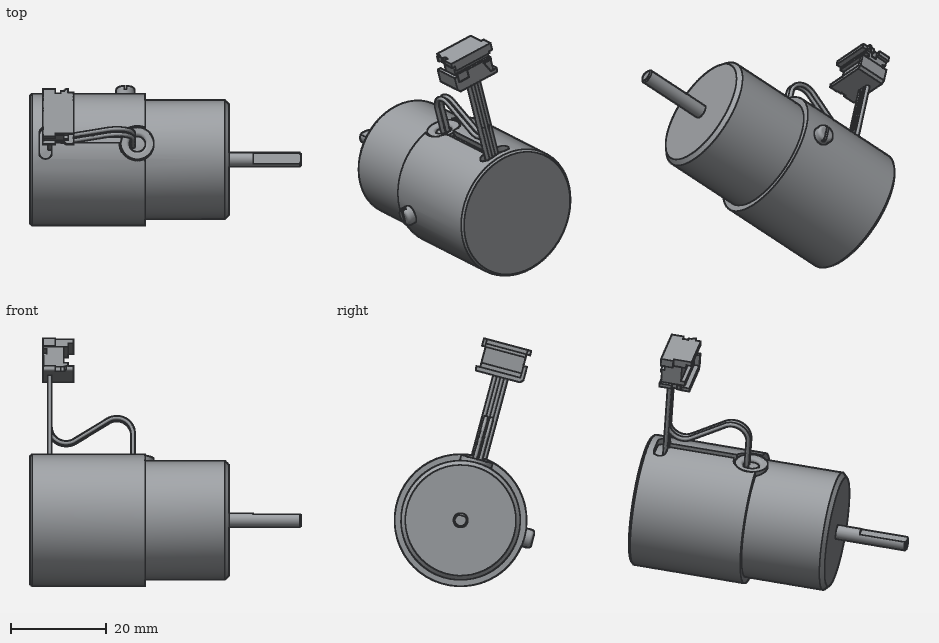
import cadquery as cq
import math

ROLL_ANGLE = -15.0

REAR_RADIUS = 13.8
REAR_LENGTH = 24.0
REAR_CHAMFER = 0.45
FRONT_RADIUS = 12.45
FRONT_END = 41.55
FRONT_CHAMFER = 0.9

SHAFT_RADIUS = 1.5
SHAFT_END = 56.55
SHAFT_TIP_CHAMFER = 0.3
SHAFT_FLAT_LENGTH = 10.0
SHAFT_FLAT_HEIGHT = 1.0

WIRING_FLOOR_RADIUS = 12.5
SLOT_X = 3.25
SLOT_WIDTH = 2.6
SLOT_LENGTH = 6.9
GROOVE_NEAR_Y = -0.1
GROOVE_FAR_Y = 1.5

GROMMET_X = 22.4
GROMMET_RADIUS = 3.45
GROMMET_SEAT_RADIUS = 3.75
GROMMET_TOP = 13.2
GROMMET_BOTTOM = 11.5
GROMMET_HOLE_RADIUS = 1.67
GROMMET_HOLE_FLOOR = 12.05
GROMMET_LIP_ROUND = 0.7

SCREW_X = 19.9
SCREW_RADIUS = 1.97
SCREW_TIP = 15.6
SCREW_EDGE_ROUND = 0.7
SCREW_SLOT_WIDTH = 0.45
SCREW_SLOT_DEPTH = 0.9

WIRE_RADIUS = 0.45
LEAD_X = 4.14
LEAD_CENTER_Y = 0.32
LEAD_PITCH = 0.78
LEAD_COUNT = 4
LOOP_COUNT = 2
LOOP_X = 21.5
LOOP_CENTER_Y = 0.15
LOOP_PITCH = 1.15
LOOP_BEND_START = 18.6
LOOP_BEND_RADIUS = 3.4
LOOP_SLOPE_ANGLE = 32.3

PLUG_X = 2.7
PLUG_LENGTH = 6.4
PLUG_LIP_HALF_WIDTH = 5.13
PLUG_CORE_HALF_WIDTH = 4.35
PLATE_NOTCH_HALF_WIDTH = 4.2
PLATE_INSET_HALF_WIDTH = 4.45
FLANGE_NOTCH_HALF_WIDTH = 4.45
PLUG_BOTTOM = 30.98
PLUG_TOP = 37.96
PLUG_KEY_X = PLUG_X + 2.6
PLUG_TOOTH_X = PLUG_KEY_X + 1.1
PLUG_TOOTH_PEAK_X = PLUG_TOOTH_X + 1.15
PLUG_SHOULDER_X = 7.98
PLUG_TOOTH_REACH = 0.35
PLUG_TOOTH_LENGTH = 0.7
PLATE_UNDERSIDE = 36.3
PLATE_END_UNDERSIDE = 37.0
KEYED_LIP_UNDERSIDE = 36.95
FLANGE_TOP = 31.95
FLANGE_EDGE_ROUND = 0.4
CORE_END_X = 7.09
RIB_TOP = 32.9
WALL_TOP = 34.5
WALL_CHAMFER = 0.6
BACK_GROOVE_BOTTOM = 34.9
BACK_GROOVE_TOP = 35.9
BACK_GROOVE_DEPTH = 0.75
BACK_MARK_DEPTH = 0.2
BACK_POCKET_BOTTOM = 33.06
BACK_POCKET_INNER_Y = 1.75
BACK_POCKET_OUTER_Y = 4.25
PIN_MARK_POINTS = [(-2.46, 34.35), (-4.4, 34.35), (-4.4, 31.82), (-3.66, 31.82)]


def box(x_range, y_range, z_range):
    size = [high - low for low, high in (x_range, y_range, z_range)]
    corner = (x_range[0], y_range[0], z_range[0])
    return cq.Workplane("XY").box(*size, centered=False).translate(corner)


def upright_cylinder(x, radius, bottom, top):
    return cq.Workplane("XY", origin=(x, 0, bottom)).circle(radius).extrude(top - bottom)


def axial_cylinder(radius, start, end):
    return cq.Workplane("YZ", origin=(start, 0, 0)).circle(radius).extrude(end - start)


def make_body():
    rear = axial_cylinder(REAR_RADIUS, 0, REAR_LENGTH).faces("<X").chamfer(REAR_CHAMFER)
    front = axial_cylinder(FRONT_RADIUS, 0, FRONT_END).faces(">X").chamfer(FRONT_CHAMFER)
    front = front.intersect(axial_cylinder(REAR_RADIUS, REAR_LENGTH / 2, FRONT_END))
    return rear.union(front)


def make_shaft():
    shaft = axial_cylinder(SHAFT_RADIUS, REAR_LENGTH, SHAFT_END)
    shaft = shaft.faces(">X").chamfer(SHAFT_TIP_CHAMFER)
    flat = box(
        (SHAFT_END - SHAFT_FLAT_LENGTH, SHAFT_END),
        (-SHAFT_RADIUS, SHAFT_RADIUS),
        (SHAFT_FLAT_HEIGHT, SHAFT_RADIUS),
    )
    return shaft.cut(flat)


def make_wiring_recess():
    """Slot under the lead, groove and grommet seat, all above the common floor."""
    slot = cq.Workplane("XY").center(SLOT_X, 0).slot2D(SLOT_LENGTH, SLOT_WIDTH, 90).extrude(REAR_RADIUS)
    groove = box((SLOT_X, GROMMET_X), (GROOVE_NEAR_Y, GROOVE_FAR_Y), (0, REAR_RADIUS))
    seat = upright_cylinder(GROMMET_X, GROMMET_SEAT_RADIUS, 0, REAR_RADIUS)
    return slot.union(groove).union(seat).cut(axial_cylinder(WIRING_FLOOR_RADIUS, 0, FRONT_END))


def make_grommet():
    grommet = upright_cylinder(GROMMET_X, GROMMET_RADIUS, GROMMET_BOTTOM, GROMMET_TOP)
    hole = upright_cylinder(GROMMET_X, GROMMET_HOLE_RADIUS, GROMMET_HOLE_FLOOR, GROMMET_TOP)
    inner_rim = cq.selectors.RadiusNthSelector(0)
    return grommet.cut(hole).faces(">Z").edges(inner_rim).fillet(GROMMET_LIP_ROUND)


def make_screw():
    screw = cq.Workplane("XZ", origin=(SCREW_X, 0, 0)).circle(SCREW_RADIUS).extrude(-SCREW_TIP)
    screw = screw.faces(">Y").edges().fillet(SCREW_EDGE_ROUND)
    slot = box(
        (SCREW_X - SCREW_SLOT_WIDTH / 2, SCREW_X + SCREW_SLOT_WIDTH / 2),
        (SCREW_TIP - SCREW_SLOT_DEPTH, SCREW_TIP),
        (-SCREW_RADIUS, SCREW_RADIUS),
    )
    return screw.cut(slot)


def centered_rows(center, pitch, count):
    return [center + (i - (count - 1) / 2) * pitch for i in range(count)]


def make_lead():
    """Straight wires from the slot floor up into the plug."""
    bottom = WIRING_FLOOR_RADIUS - WIRE_RADIUS
    lead = cq.Workplane("XY")
    for y in centered_rows(LEAD_CENTER_Y, LEAD_PITCH, LEAD_COUNT):
        lead = lead.union(upright_cylinder(LEAD_X, WIRE_RADIUS, bottom, FLANGE_TOP).translate((0, y, 0)))
    return lead


def make_loop_wire(y):
    """Wire rising from the grommet, arching over, sloping down and turning up into the lead."""
    slope = math.radians(LOOP_SLOPE_ANGLE)
    radius = LOOP_BEND_RADIUS
    level_run = LOOP_X - LEAD_X - 2 * radius
    slope_length = (level_run - 2 * radius * math.sin(slope)) / math.cos(slope)

    crest_center = (LOOP_X - radius, LOOP_BEND_START)
    drop = slope_length * math.sin(slope) - 2 * radius * math.cos(slope)
    dip_center = (LEAD_X + radius, LOOP_BEND_START - drop)

    def on_circle(center, angle):
        return (center[0] + radius * math.cos(angle), center[1] + radius * math.sin(angle))

    slope_top_angle = math.pi / 2 + slope
    slope_bottom_angle = -math.pi / 2 + slope
    lead_angle = -math.pi
    path = (
        cq.Workplane("XZ", origin=(0, y, 0))
        .moveTo(LOOP_X, GROMMET_BOTTOM)
        .lineTo(LOOP_X, LOOP_BEND_START)
        .threePointArc(on_circle(crest_center, slope_top_angle / 2), on_circle(crest_center, slope_top_angle))
        .lineTo(*on_circle(dip_center, slope_bottom_angle))
        .threePointArc(
            on_circle(dip_center, (slope_bottom_angle + lead_angle) / 2),
            on_circle(dip_center, lead_angle),
        )
    )
    profile = cq.Workplane("XY", origin=(LOOP_X, y, GROMMET_BOTTOM)).circle(WIRE_RADIUS)
    return profile.sweep(path)


def keyed_edge(notch_half_width):
    """Edge outline shared by plate and flange: lip, notch and ramped tooth."""
    tooth = PLUG_CORE_HALF_WIDTH + PLUG_TOOTH_REACH
    return [
        (PLUG_X, PLUG_LIP_HALF_WIDTH),
        (PLUG_KEY_X, PLUG_LIP_HALF_WIDTH),
        (PLUG_KEY_X, notch_half_width),
        (PLUG_TOOTH_X, notch_half_width),
        (PLUG_TOOTH_X, tooth),
        (PLUG_TOOTH_X + PLUG_TOOTH_LENGTH, tooth),
        (PLUG_TOOTH_PEAK_X, PLUG_LIP_HALF_WIDTH),
        (PLUG_SHOULDER_X, PLUG_LIP_HALF_WIDTH),
    ]


def make_plate():
    plug_end = PLUG_X + PLUG_LENGTH
    outline = keyed_edge(PLATE_NOTCH_HALF_WIDTH) + [
        (PLUG_SHOULDER_X, PLUG_CORE_HALF_WIDTH),
        (plug_end, PLUG_CORE_HALF_WIDTH),
        (plug_end, -PLATE_INSET_HALF_WIDTH),
        (PLUG_KEY_X, -PLATE_INSET_HALF_WIDTH),
        (PLUG_KEY_X, -PLUG_LIP_HALF_WIDTH),
        (PLUG_X, -PLUG_LIP_HALF_WIDTH),
    ]
    plate = cq.Workplane("XY", origin=(0, 0, PLATE_UNDERSIDE)).polyline(outline).close()
    plate = plate.extrude(PLUG_TOP - PLATE_UNDERSIDE)
    step = box(
        (PLUG_SHOULDER_X, plug_end),
        (-PLUG_LIP_HALF_WIDTH, PLUG_LIP_HALF_WIDTH),
        (PLATE_UNDERSIDE, PLATE_END_UNDERSIDE),
    )
    keyed_lip_relief = box(
        (PLUG_X, plug_end),
        (PLUG_CORE_HALF_WIDTH, PLUG_LIP_HALF_WIDTH),
        (PLATE_UNDERSIDE, KEYED_LIP_UNDERSIDE),
    )
    return plate.cut(step).cut(keyed_lip_relief)


def make_flange():
    plug_end = PLUG_X + PLUG_LENGTH
    lip_edge = [(x, -y) for x, y in keyed_edge(FLANGE_NOTCH_HALF_WIDTH)]
    outline = lip_edge + [
        (plug_end, -PLUG_LIP_HALF_WIDTH),
        (plug_end, PLUG_LIP_HALF_WIDTH),
        (PLUG_X, PLUG_LIP_HALF_WIDTH),
    ]
    flange = cq.Workplane("XY", origin=(0, 0, PLUG_BOTTOM)).polyline(outline).close()
    flange = flange.extrude(FLANGE_TOP - PLUG_BOTTOM)
    wall = box(
        (PLUG_X, plug_end),
        (PLUG_CORE_HALF_WIDTH, PLUG_LIP_HALF_WIDTH),
        (PLUG_BOTTOM, WALL_TOP),
    )
    flange = flange.union(wall)
    flange = flange.edges("|X and <Z and >Y").chamfer(WALL_CHAMFER)
    return flange.edges("|X and <Z and <Y").fillet(FLANGE_EDGE_ROUND)


def make_plug():
    core_width = (-PLUG_CORE_HALF_WIDTH, PLUG_CORE_HALF_WIDTH)
    core = box((PLUG_X, CORE_END_X), core_width, (PLUG_BOTTOM, PLATE_UNDERSIDE))
    rib = box((PLUG_X, PLUG_SHOULDER_X), core_width, (PLUG_BOTTOM, RIB_TOP))
    plug = make_plate().union(make_flange()).union(core).union(rib)

    back_groove = box(
        (PLUG_X, PLUG_X + BACK_GROOVE_DEPTH), core_width, (BACK_GROOVE_BOTTOM, BACK_GROOVE_TOP)
    )
    back_pocket = box(
        (PLUG_X, PLUG_X + BACK_MARK_DEPTH),
        (BACK_POCKET_INNER_Y, BACK_POCKET_OUTER_Y),
        (BACK_POCKET_BOTTOM, BACK_GROOVE_BOTTOM),
    )
    pin_mark = cq.Workplane("YZ", origin=(PLUG_X, 0, 0)).polyline(PIN_MARK_POINTS).close()
    pin_mark = pin_mark.extrude(BACK_MARK_DEPTH)
    return plug.cut(back_groove).cut(back_pocket).cut(pin_mark)


motor = make_body().union(make_shaft()).union(make_screw())
motor = motor.cut(make_wiring_recess()).union(make_grommet())
motor = motor.union(make_lead()).union(make_plug())
for wire_y in centered_rows(LOOP_CENTER_Y, LOOP_PITCH, LOOP_COUNT):
    motor = motor.union(make_loop_wire(wire_y))

result = motor.rotate((0, 0, 0), (1, 0, 0), ROLL_ANGLE)